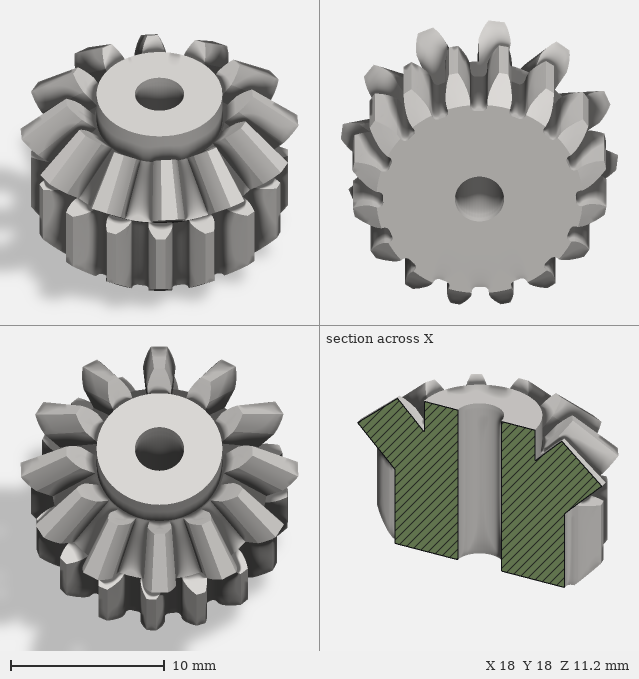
import cadquery as cq
import math

bore_diameter = 3.2
hub_diameter = 8.17
hub_radius = hub_diameter / 2
total_height = 11.16

spur_teeth = 16
spur_pitch_radius = 7.41
pressure_angle = math.radians(20)
dedendum_ratio = 1.25
spur_height = 5.99
spur_chamfer = 1.64
root_fillet = 0.35
spur_module = 2 * spur_pitch_radius / spur_teeth
spur_base_radius = spur_pitch_radius * math.cos(pressure_angle)
spur_tip_radius = spur_pitch_radius + spur_module
spur_root_radius = spur_pitch_radius - dedendum_ratio * spur_module

bevel_teeth = 12
bevel_tip_radius = 9.02
bevel_tip_z = 8.25
root_outer_radius = 7.0
root_inner_radius = 4.22
root_outer_z = bevel_tip_z - (bevel_tip_radius - root_outer_radius)
root_inner_z = root_outer_z + root_outer_radius - root_inner_radius
face_length = math.sqrt(2) * (root_outer_radius - root_inner_radius)

tip_height = (math.sqrt(2) * (bevel_tip_radius - root_outer_radius), 2.6)
pitch_height = (1.46, 1.3)
tip_width = (1.06, 0.7)
shoulder_width = (1.77, 1.26)
pitch_width = (2.13, 1.57)
root_width = (1.8, 1.33)
shoulder_share = 0.5
tooth_embed = 0.27
buried_drop = 2.16
hub_inset = 3.6
end_overrun = 0.1


def polar(radius, angle):
    """Point at a radius and an angle from +X."""
    return (radius * math.cos(angle), radius * math.sin(angle))


def involute_angle(radius):
    """Angle that an involute from the base circle has swept at the given radius."""
    roll = math.acos(spur_base_radius / radius)
    return math.tan(roll) - roll


def spur_half_angle(radius):
    """Half of the angle that one spur tooth covers at the given radius."""
    at_pitch = math.pi / (2 * spur_teeth)
    return at_pitch + involute_angle(spur_pitch_radius) - involute_angle(radius)


def spur_gap():
    """Cutter for the gap centred on +X, with rounded corners at the root."""
    half_pitch = math.pi / spur_teeth
    flank_steps = 6
    tip_roll = math.sqrt((spur_tip_radius / spur_base_radius) ** 2 - 1)
    flank = []
    for step in range(flank_steps + 1):
        radius = spur_base_radius * math.hypot(1, tip_roll * step / flank_steps)
        flank.append(polar(radius, half_pitch - spur_half_angle(radius)))
    mirrored = [(x, -y) for x, y in flank]
    root_angle = half_pitch - spur_half_angle(spur_base_radius)
    clear_x = spur_tip_radius + spur_module

    gap = (
        cq.Workplane("XY")
        .moveTo(*polar(spur_root_radius, -root_angle))
        .threePointArc((spur_root_radius, 0), polar(spur_root_radius, root_angle))
        .lineTo(*flank[0])
        .spline(flank[1:], includeCurrent=True)
        .lineTo(clear_x, flank[-1][1])
        .lineTo(clear_x, mirrored[-1][1])
        .lineTo(*mirrored[-1])
        .spline(mirrored[-2::-1], includeCurrent=True)
        .close()
        .extrude(spur_height)
    )
    root_corners = cq.selectors.BoxSelector(
        (0, -hub_radius, 0), (spur_root_radius, hub_radius, spur_height)
    )
    return gap.edges("|Z").edges(root_corners).fillet(root_fillet)


def spur_gear():
    blank = cq.Workplane("XY").circle(spur_tip_radius).extrude(spur_height)
    gear = blank.faces("<Z").chamfer(spur_chamfer)
    gap = spur_gap()
    for index in range(spur_teeth):
        gear = gear.cut(gap.rotate((0, 0, 0), (0, 0, 1), index * 360 / spur_teeth))
    return gear


def revolve_outline(points):
    """Solid of revolution about Z from (radius, z) points."""
    return cq.Workplane("XZ").polyline(points).close().revolve(360, (0, 0, 0), (0, 1, 0))


def root_cone():
    """Cone under the bevel teeth, long enough to be trimmed at both ends."""
    overrun = end_overrun * face_length
    low_radius = root_outer_radius + overrun
    high_radius = root_inner_radius - overrun
    low_z = root_outer_z - overrun
    high_z = root_inner_z + overrun
    buried_z = root_outer_z - buried_drop - overrun
    return revolve_outline([
        (0, buried_z),
        (low_radius, buried_z),
        (low_radius, low_z),
        (high_radius, high_z),
        (0, high_z),
    ])


def bevel_envelope():
    """Solid between the two end cones; the outer one runs down into the spur gear."""
    reach = tip_height[0]
    hub_drop = root_inner_radius - hub_inset
    return revolve_outline([
        (0, root_outer_z - buried_drop),
        (root_outer_radius - buried_drop, root_outer_z - buried_drop),
        (root_outer_radius + reach, root_outer_z + reach),
        (root_inner_radius + reach, root_inner_z + reach),
        (hub_inset, root_inner_z - hub_drop),
        (0, root_inner_z - hub_drop),
    ])


def bevel_section(share):
    """Tooth section at a share of the face length, from the outer end to the inner end."""

    def along(ends):
        return ends[0] + (ends[1] - ends[0]) * share

    tip = (along(tip_width) / 2, along(tip_height))
    pitch = (along(pitch_width) / 2, along(pitch_height))
    shoulder = (along(shoulder_width) / 2, tip[1] + shoulder_share * (pitch[1] - tip[1]))
    root_half_width = along(root_width) / 2
    flank_slope = (pitch[0] - root_half_width) / pitch[1]
    foot = (root_half_width - flank_slope * tooth_embed, -tooth_embed)

    plane = cq.Plane((root_outer_radius, 0, root_outer_z), xDir=(0, -1, 0), normal=(-1, 0, 1))
    return (
        cq.Workplane(plane)
        .workplane(offset=share * face_length)
        .moveTo(-foot[0], foot[1])
        .lineTo(*foot)
        .lineTo(*pitch)
        .threePointArc(shoulder, tip)
        .lineTo(-tip[0], tip[1])
        .threePointArc((-shoulder[0], shoulder[1]), (-pitch[0], pitch[1]))
        .close()
        .val()
    )


def bevel_gear():
    sections = [bevel_section(-end_overrun), bevel_section(1 + end_overrun)]
    tooth = cq.Workplane(cq.Solid.makeLoft(sections, True))
    gear = root_cone()
    for index in range(bevel_teeth):
        gear = gear.union(tooth.rotate((0, 0, 0), (0, 0, 1), index * 360 / bevel_teeth))
    return gear.intersect(bevel_envelope())


hub = cq.Workplane("XY").circle(hub_radius).extrude(total_height)
bore = cq.Workplane("XY").circle(bore_diameter / 2).extrude(total_height)
result = spur_gear().union(bevel_gear()).union(hub).cut(bore)